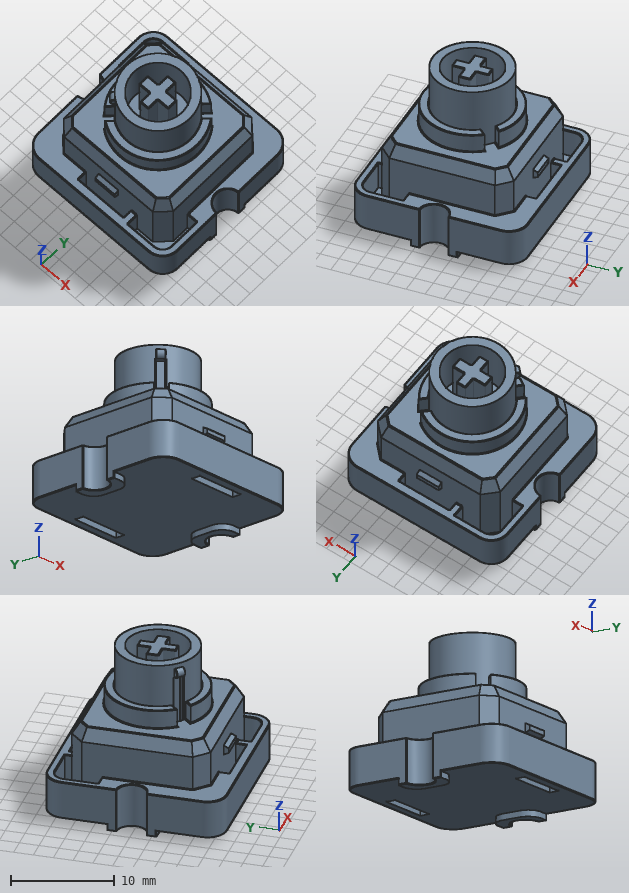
import cadquery as cq
import math

edge_bevel = 0.1

frame_length = 18.6
frame_width = 18.2
frame_corner_radius = 2.0
frame_bottom = 0.65
frame_top = 4.65

notch_radius = 1.5
foot_length = 2.5
foot_width = 2 * foot_length
foot_corner_radius = 1.5

rim_width = 0.8
pocket_inner_x = 3.81
pocket_inner_y = 3.59
pocket_depth = 2.94
window_width = 5.99
window_outer_y = 8.05
window_inner_y = 5.58

block_length = 14.6
block_width = 14.0
block_corner = 1.4
block_shoulder = 8.28
block_top = 9.62
block_taper_inset = 0.82
skirt_size = edge_bevel

latch_length = 2.6
latch_reach = 0.5
latch_center_z = 6.14
latch_root_height = 1.0
latch_tip_height = 0.5

collar_diameter = 10.49
housing_bore = 8.5
collar_top = 11.6
collar_slot_width = 1.49
slot_angle = 45.0

plunger_diameter = 8.4
plunger_bottom = frame_top
plunger_top = 16.0
plunger_bore = 6.4
plunger_wall = (plunger_diameter - plunger_bore) / 2
bore_floor = block_top + plunger_wall
cross_span = 3.9
cross_arm_x = 1.25
cross_arm_y = 1.1
cross_corner_radius = 0.1

nub_radius = 0.5
nub_center_z = 15.0
nub_axis_radius = 4.18
nub_width = 0.97
nub_bevel = 0.07
groove_width = 0.97
groove_floor_radius = 3.63
groove_bevel = 0.11
groove_corner_bevel = 0.07


def chamfered_rectangle(length, width, corner, bottom, height, taper=0.0):
    """Prism with four cut corners, standing on the plane z = bottom."""
    x = length / 2
    y = width / 2
    points = [
        (x, y - corner), (x - corner, y), (corner - x, y), (-x, y - corner),
        (-x, corner - y), (corner - x, -y), (x - corner, -y), (x, corner - y),
    ]
    return cq.Workplane("XY").workplane(offset=bottom).polyline(points).close().extrude(height, taper=taper)


def notch(side):
    """Cutter for a half-round notch, with bevels at the foot bottom, frame top and outer side."""
    center_x = side * frame_length / 2
    wide_radius = notch_radius + edge_bevel
    shaft = cq.Workplane("XY", origin=(center_x, 0, 0)).circle(notch_radius).extrude(frame_top)
    lower_rim = cq.Workplane("XY", origin=(center_x, 0, 0)).circle(wide_radius).extrude(edge_bevel, taper=45)
    upper_rim = (
        cq.Workplane("XY", origin=(center_x, 0, frame_top - edge_bevel))
        .circle(notch_radius)
        .extrude(edge_bevel, taper=-45)
    )
    inner_x = center_x - side * edge_bevel
    mouth_points = [
        (center_x, -wide_radius), (inner_x, -notch_radius), (inner_x, notch_radius), (center_x, wide_radius),
    ]
    mouth = cq.Workplane("XY").polyline(mouth_points).close().extrude(frame_top)
    return shaft.union(lower_rim).union(upper_rim).union(mouth)


def beveled_opening(length, width, x, y, bottom, corner_radius=None):
    """Cutter for a rectangular opening whose rim at the frame top is beveled."""
    def prism(growth, z, height, taper=0.0):
        sketch = cq.Sketch().rect(length + 2 * growth, width + 2 * growth)
        if corner_radius:
            outer = f"{'>' if x > 0 else '<'}X and {'>' if y > 0 else '<'}Y"
            sketch = sketch.vertices(outer).fillet(corner_radius + growth)
        return cq.Workplane("XY", origin=(x, y, z)).placeSketch(sketch).extrude(height, taper=taper)

    bevel_start = frame_top - edge_bevel
    shaft = prism(0, bottom, frame_top - bottom)
    rim = prism(0, bevel_start, edge_bevel, taper=-45)
    clearance = prism(edge_bevel, frame_top, skirt_size)
    return shaft.union(rim).union(clearance)


def pocket(side):
    """Corner pocket: side -1 is the -X +Y corner, side 1 the +X -Y corner."""
    outer_x = frame_length / 2 - rim_width
    outer_y = frame_width / 2 - rim_width
    return beveled_opening(
        outer_x - pocket_inner_x,
        outer_y - pocket_inner_y,
        side * (outer_x + pocket_inner_x) / 2,
        -side * (outer_y + pocket_inner_y) / 2,
        frame_top - pocket_depth,
        frame_corner_radius - rim_width,
    )


def foot(side):
    """Low pad around a notch, beveled along the outer side of the frame."""
    outer_x = side * frame_length / 2
    outward = ">X" if side > 0 else "<X"
    inward = "<X" if side > 0 else ">X"
    return (
        cq.Workplane("XY")
        .center(outer_x - side * foot_length / 2, 0)
        .rect(foot_length, foot_width)
        .extrude(frame_bottom + edge_bevel)
        .edges(f"|Z and {inward}")
        .fillet(foot_corner_radius)
        .faces(outward)
        .edges("|Z or <Z")
        .chamfer(edge_bevel)
    )


def frame():
    body = (
        cq.Workplane("XY")
        .workplane(offset=frame_bottom)
        .rect(frame_length, frame_width)
        .extrude(frame_top - frame_bottom)
        .edges("|Z")
        .fillet(frame_corner_radius)
        .faces("<Z or >Z")
        .edges()
        .chamfer(edge_bevel)
    )
    for side in (-1, 1):
        body = body.union(foot(side)).cut(notch(side))
    return body


def skirt():
    """Sloped fillet strip where the block stands on the frame top."""
    return chamfered_rectangle(
        block_length + 2 * skirt_size,
        block_width + 2 * skirt_size,
        block_corner + skirt_size * (2 - math.sqrt(2)),
        frame_top,
        skirt_size,
        taper=45,
    )


def block():
    lower = chamfered_rectangle(
        block_length, block_width, block_corner, frame_bottom, block_shoulder - frame_bottom
    )
    cap_height = block_top - block_shoulder
    cap_taper = math.degrees(math.atan(block_taper_inset / cap_height))
    cap = chamfered_rectangle(
        block_length, block_width, block_corner, block_shoulder, cap_height, taper=cap_taper
    )
    return lower.union(cap.faces(">Z").edges().chamfer(edge_bevel))


def latches():
    """Wedge-nosed latches, made as one bar through the block."""
    root_y = block_width / 2
    tip_y = root_y + latch_reach
    root_z = latch_root_height / 2
    tip_z = latch_tip_height / 2
    profile = [
        (-tip_y, -tip_z), (-root_y, -root_z), (root_y, -root_z), (tip_y, -tip_z),
        (tip_y, tip_z), (root_y, root_z), (-root_y, root_z), (-tip_y, tip_z),
    ]
    return (
        cq.Workplane("YZ", origin=(0, 0, latch_center_z))
        .polyline(profile)
        .close()
        .extrude(latch_length / 2, both=True)
    )


def slotted_ring(growth, height, taper=0.0):
    """Collar ring with its diagonal slot, grown outward by growth and standing on the block."""
    width = collar_slot_width - 2 * growth
    disc = cq.Workplane("XY", origin=(0, 0, block_top)).circle(collar_diameter / 2 + growth)
    slot = (
        cq.Workplane("XY", origin=(0, 0, block_top))
        .transformed(rotate=(0, 0, slot_angle))
        .rect(2 * collar_diameter, width)
        .extrude(height, taper=-taper)
    )
    return disc.extrude(height, taper=taper).cut(slot)


def collar():
    height = collar_top - block_top
    bore = cq.Workplane("XY", origin=(0, 0, block_top)).circle(housing_bore / 2).extrude(height)
    ring = slotted_ring(0, height).cut(bore)
    ring = ring.faces(">Z").edges().chamfer(edge_bevel)
    return ring.union(slotted_ring(skirt_size, skirt_size, taper=45).cut(bore))


def window(side):
    """Latch window; its inner part lies under the block, which fills it."""
    return beveled_opening(
        window_width,
        window_outer_y - window_inner_y,
        0,
        side * (window_outer_y + window_inner_y) / 2,
        0,
    )


def well():
    """Blind hole in the block that seats the plunger."""
    return (
        cq.Workplane("XY", origin=(0, 0, plunger_bottom))
        .circle(housing_bore / 2)
        .extrude(block_top - plunger_bottom)
    )


def housing():
    body = frame().union(skirt())
    for side in (-1, 1):
        body = body.cut(pocket(side)).cut(window(side))
    return body.union(block()).union(latches()).cut(well()).union(collar())


def cross():
    height = plunger_top - bore_floor
    arm_x = cq.Workplane("XY", origin=(0, 0, bore_floor)).rect(cross_span, cross_arm_x).extrude(height)
    arm_y = cq.Workplane("XY", origin=(0, 0, bore_floor)).rect(cross_arm_y, cross_span).extrude(height)
    return (
        arm_x.union(arm_y)
        .edges("|Z")
        .fillet(cross_corner_radius)
        .faces(">Z")
        .edges()
        .chamfer(edge_bevel)
    )


def nub():
    """Short cross-lying pin on the +X side; turned to the slot later."""
    return (
        cq.Workplane("XZ", origin=(nub_axis_radius, 0, nub_center_z))
        .circle(nub_radius)
        .extrude(nub_width / 2, both=True)
        .faces("<Y or >Y")
        .edges()
        .chamfer(nub_bevel)
    )


def groove():
    """Key groove on the +X side, with sloped inner corners and a flared mouth."""
    half = groove_width / 2
    mouth = half + groove_bevel
    mouth_radius = math.sqrt((plunger_diameter / 2) ** 2 - mouth**2)
    wall_end = mouth_radius - groove_bevel
    floor_half = half - groove_corner_bevel
    wall_start = groove_floor_radius + groove_corner_bevel
    outside = plunger_diameter / 2
    points = [
        (groove_floor_radius, -floor_half), (wall_start, -half), (wall_end, -half), (mouth_radius, -mouth),
        (outside, -mouth), (outside, mouth), (mouth_radius, mouth), (wall_end, half),
        (wall_start, half), (groove_floor_radius, floor_half),
    ]
    groove_top = nub_center_z - nub_radius
    return (
        cq.Workplane("XY", origin=(0, 0, plunger_bottom))
        .polyline(points)
        .close()
        .extrude(groove_top - plunger_bottom)
    )


def plunger():
    barrel = (
        cq.Workplane("XY", origin=(0, 0, plunger_bottom))
        .circle(plunger_diameter / 2)
        .extrude(plunger_top - plunger_bottom)
    )
    bore = (
        cq.Workplane("XY", origin=(0, 0, bore_floor))
        .circle(plunger_bore / 2)
        .extrude(plunger_top - bore_floor)
    )
    outer_nub = nub().cut(bore)
    shell = barrel.cut(bore).cut(groove()).union(outer_nub)
    return shell.rotate((0, 0, 0), (0, 0, 1), 180 + slot_angle).union(cross())


result = cq.Compound.makeCompound([housing().val(), plunger().val()])